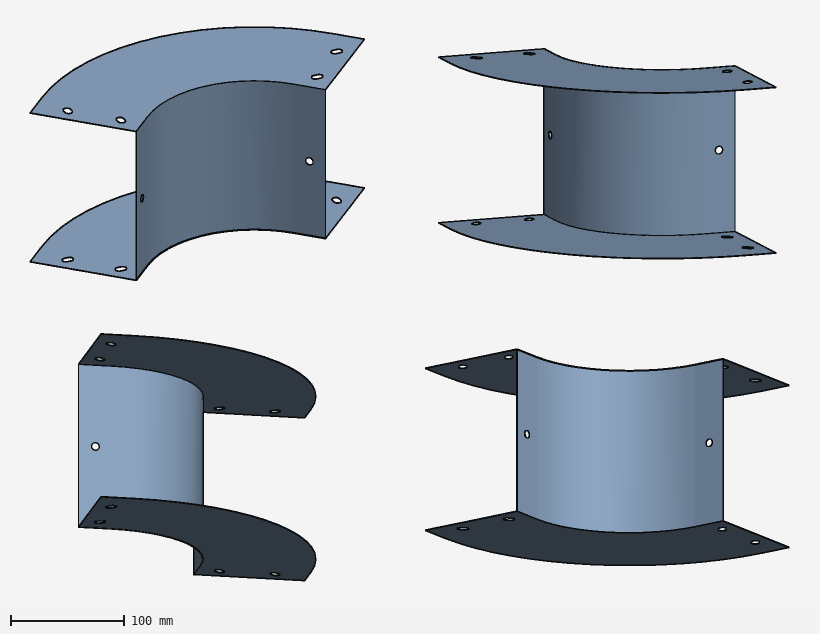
import cadquery as cq
import math

side = 230.0
height = 150.0
arm_width = 100.0
straight_length = 30.1
thickness = 0.7

hole_diameter = 7.0
slot_length = 10.5
hole_end_distance = 15.2
slot_outer_margin = 30.0
slot_spacing = 50.0

half_side = side / 2
half_height = height / 2
bend_x = half_side - straight_length
bend_y = -half_side + straight_length
outer_radius = side - straight_length
inner_radius = outer_radius - arm_width


def curved_plate(large_radius, small_radius, bottom, depth):
    """Extrude a quarter ring with a straight stretch at both ends."""
    def arc_middle(radius):
        offset = radius * math.sqrt(0.5)
        return (bend_x - offset, bend_y + offset)

    return (
        cq.Workplane("XY", origin=(0, 0, bottom))
        .moveTo(bend_x - large_radius, -half_side)
        .lineTo(bend_x - large_radius, bend_y)
        .threePointArc(arc_middle(large_radius), (bend_x, bend_y + large_radius))
        .lineTo(half_side, bend_y + large_radius)
        .lineTo(half_side, bend_y + small_radius)
        .lineTo(bend_x, bend_y + small_radius)
        .threePointArc(arc_middle(small_radius), (bend_x - small_radius, bend_y))
        .lineTo(bend_x - small_radius, -half_side)
        .close()
        .extrude(depth)
    )


def flange(bottom, front_slot_angle):
    """Make a flange whose slots turn by 90 degrees from one end to the other."""
    front_slots = []
    right_slots = []
    for index in range(2):
        outer_distance = slot_outer_margin + index * slot_spacing
        front_slots.append((-half_side + outer_distance, -half_side + hole_end_distance))
        right_slots.append((half_side - hole_end_distance, half_side - outer_distance))

    plate = curved_plate(outer_radius, inner_radius, bottom, thickness)
    for centres, angle in ((front_slots, front_slot_angle), (right_slots, front_slot_angle + 90)):
        slots = (
            cq.Workplane("XY", origin=(0, 0, bottom))
            .pushPoints(centres)
            .slot2D(slot_length, hole_diameter, angle)
            .extrude(thickness)
        )
        plate = plate.cut(slots)
    return plate


def inner_wall():
    """Make the inner side wall with one round hole near each end."""
    wall = curved_plate(inner_radius + thickness, inner_radius, -half_height, height)
    end_hole = cq.Workplane("XZ").circle(hole_diameter / 2).extrude(thickness)
    right_hole = end_hole.translate(
        (half_side - hole_end_distance, bend_y + inner_radius + thickness, 0)
    )
    front_hole = end_hole.rotate((0, 0, 0), (0, 0, 1), 90).translate(
        (bend_x - inner_radius - thickness, -half_side + hole_end_distance, 0)
    )
    return wall.cut(right_hole).cut(front_hole)


top_flange = flange(half_height - thickness, -45)
bottom_flange = flange(-half_height, 45)
result = inner_wall().union(top_flange).union(bottom_flange)